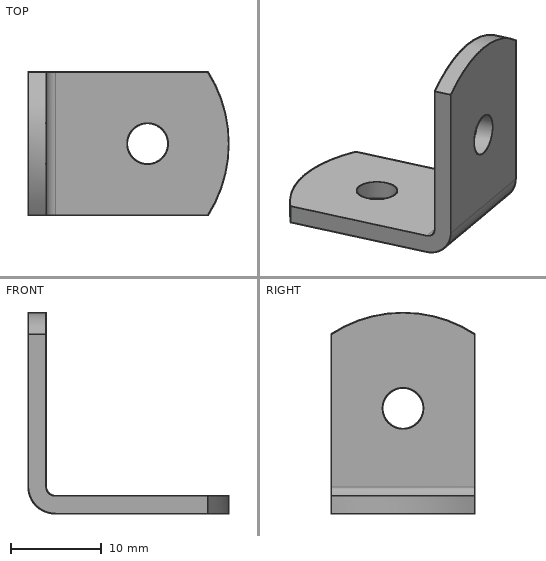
import cadquery as cq

length_x = 22.19
width = 15.87
height_z = 22.23

thickness = 2.0
inner_bend_radius = 1.0
outer_bend_radius = inner_bend_radius + thickness

base_crown = 2.31
wall_crown = 2.38

hole_diameter = 4.5
base_hole_x = 13.2
wall_hole_z = 11.65


def bent_strip():
    """L-shaped sheet profile with a rounded bend, extruded symmetrically along Y."""
    profile = (
        cq.Workplane("XZ")
        .polyline([
            (0, 0),
            (length_x, 0),
            (length_x, thickness),
            (thickness, thickness),
            (thickness, height_z),
            (0, height_z),
        ])
        .close()
        .extrude(width / 2, both=True)
    )
    rounded = profile.edges(cq.selectors.NearestToPointSelector((0, 0, 0))).fillet(outer_bend_radius)
    inner_corner = cq.selectors.NearestToPointSelector((thickness, 0, thickness))
    return rounded.edges(inner_corner).fillet(inner_bend_radius)


def crowned_outline(plane, reach, crown, depth):
    """Plate with one arc-shaped end, starting at the bend; local x runs along the leg."""
    half_width = width / 2
    return (
        cq.Workplane(plane)
        .moveTo(0, -half_width)
        .lineTo(reach - crown, -half_width)
        .threePointArc((reach, 0), (reach - crown, half_width))
        .lineTo(0, half_width)
        .close()
        .extrude(depth)
    )


def leg_hole(plane, distance):
    """Cutter for the hole through one leg."""
    return cq.Workplane(plane).center(distance, 0).circle(hole_diameter / 2).extrude(thickness)


base_plane = cq.Plane(origin=(0, 0, 0), xDir=(1, 0, 0), normal=(0, 0, 1))
wall_plane = cq.Plane(origin=(0, 0, 0), xDir=(0, 0, 1), normal=(1, 0, 0))

result = (
    bent_strip()
    .intersect(crowned_outline(base_plane, length_x, base_crown, height_z))
    .intersect(crowned_outline(wall_plane, height_z, wall_crown, length_x))
    .cut(leg_hole(base_plane, base_hole_x))
    .cut(leg_hole(wall_plane, wall_hole_z))
)